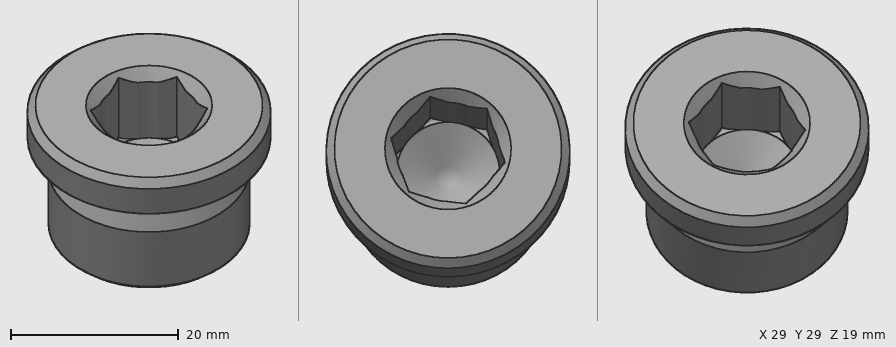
import cadquery as cq
import math

height = 19.0
head_radius = 14.5
head_thickness = 5.0
shank_radius = 12.0
edge_chamfer = 1.0
head_underside_chamfer = 0.2

groove_flank_angle = math.radians(30)
groove_arc_radius = 1.25
groove_end_z = 9.35

hex_across_flats = 12.0
hex_depth = 10.0
bore_radius = 6.12
socket_mouth_radius = 7.5
floor_round_radius = 0.44
drill_tip_half_angle = math.radians(59)


def revolve_profile(sketch):
    """Turn a closed (radius, z) outline about the Z axis."""
    return sketch.close().revolve(360, (0, 0, 0), (0, 1, 0))


def make_body():
    head_bottom_z = height - head_thickness
    groove_mid_z = (head_bottom_z + groove_end_z) / 2
    arc_half_height = groove_arc_radius * math.sin(groove_flank_angle)
    flank_height = (head_bottom_z - groove_end_z) / 2 - arc_half_height
    tangent_radius = shank_radius - flank_height * math.tan(groove_flank_angle)
    groove_root_radius = tangent_radius - groove_arc_radius * (1 - math.cos(groove_flank_angle))
    return revolve_profile(
        cq.Workplane("XZ")
        .moveTo(0, 0)
        .lineTo(shank_radius - edge_chamfer, 0)
        .lineTo(shank_radius, edge_chamfer)
        .lineTo(shank_radius, groove_end_z)
        .lineTo(tangent_radius, groove_mid_z - arc_half_height)
        .threePointArc(
            (groove_root_radius, groove_mid_z),
            (tangent_radius, groove_mid_z + arc_half_height),
        )
        .lineTo(shank_radius, head_bottom_z)
        .lineTo(head_radius - head_underside_chamfer, head_bottom_z)
        .lineTo(head_radius, head_bottom_z + head_underside_chamfer)
        .lineTo(head_radius, height - edge_chamfer)
        .lineTo(head_radius - edge_chamfer, height)
        .lineTo(0, height)
    )


def make_hexagon():
    """Hexagonal prism with corners on the X axis, its corners rounded into its floor."""
    floor_z = height - hex_depth
    corner_diameter = hex_across_flats / math.cos(math.pi / 6)
    corner_radius = corner_diameter / 2
    prism = (
        cq.Workplane("XY")
        .workplane(offset=floor_z)
        .polygon(6, corner_diameter)
        .extrude(hex_depth)
    )
    rounded_envelope = revolve_profile(
        cq.Workplane("XZ")
        .moveTo(0, floor_z)
        .lineTo(corner_radius - floor_round_radius, floor_z)
        .radiusArc((corner_radius, floor_z + floor_round_radius), -floor_round_radius)
        .lineTo(corner_radius, height)
        .lineTo(0, height)
    )
    return prism.intersect(rounded_envelope)


def make_bore():
    """Drilled hole with a conical tip and a 45 degree countersunk mouth."""
    wall_end_z = height - hex_depth
    tip_z = wall_end_z - bore_radius / math.tan(drill_tip_half_angle)
    return revolve_profile(
        cq.Workplane("XZ")
        .moveTo(0, tip_z)
        .lineTo(bore_radius, wall_end_z)
        .lineTo(bore_radius, height - (socket_mouth_radius - bore_radius))
        .lineTo(socket_mouth_radius, height)
        .lineTo(0, height)
    )


result = make_body().cut(make_hexagon()).cut(make_bore())